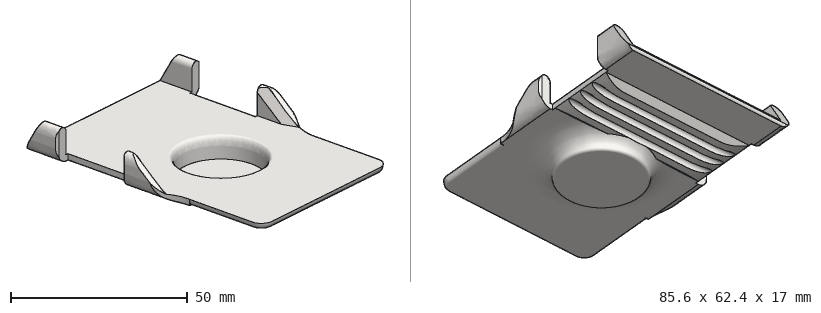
import cadquery as cq
import math

half_way = math.sqrt(0.5)

left_end = -46.55
length = 85.62
right_end = left_end + length
plate_thickness = 2.0
plate_half_width = 27.5
corner_radius = 4.0
edge_round_width = 1.2

slope_angle = 60.0
left_nose_depth = 1.0
left_nose_round_mid = (left_end + 0.2, 0.4 - plate_thickness)

arm_height = 9.0
arm_inner_y = 27.4
arm_outer_y = 31.2
arm_flat_bottom = 2.95
arm_flat_top = 5.95
arm_edge_chamfer = 0.7
left_arm_end = -34.1
right_arm_start = -9.9
right_arm_end = 11.8
right_arm_top_end = -8.0
right_arm_full_width_end = 0.4
right_arm_slope_points = [(-5.0, 7.4), (1.6, 1.85)]
right_arm_foot_slope = 0.5
right_arm_taper_points = [(2.2, 30.5), (4.5, 29.2), (6.2, 28.45)]
right_arm_foot = 4.4
ridge_x = -5.0
ridge_y = 29.05
ridge_z = 7.3
ridge_angle = 39.0
ridge_bevel_drop = 3.1
recess_half_width = 26.6

total_height = 17.0
boss_bottom = arm_height - total_height
boss_radius = 14.0
boss_edge_round = 0.9
flare_radius = 22.5
pocket_radius = 26.5 / 2
pocket_mouth_radius = 14.7
pocket_mouth_depth = 2.9
pocket_floor = -7.0

pad_bottom = -3.8
pad_left = -33.2
pad_right = -11.0
pad_end_run = 2.2
pad_half_width = 26.6
pad_flat_half_width = 16.5
pad_arch_y = 22.6
pad_arch_z = -3.25
groove_count = 3
groove_pitch = 5.05
first_groove_x = -27.1
groove_radius = 1.35
groove_roof = -2.1


def left_end_x(z):
    """X of the sloped left end face at height z."""
    return left_end + (z + left_nose_depth) / math.tan(math.radians(slope_angle))


def make_side_envelope():
    """Left-end slope with a rounded nose, as a prism that trims plate and arms."""
    return (
        cq.Workplane("XZ")
        .moveTo(right_end, -plate_thickness)
        .lineTo(left_end_x(0), -plate_thickness)
        .threePointArc(left_nose_round_mid, (left_end, -left_nose_depth))
        .lineTo(left_end_x(arm_height), arm_height)
        .lineTo(right_end, arm_height)
        .close()
        .extrude(2 * arm_outer_y, both=True)
    )


def make_plate():
    """Plate with rounded free corners and a shallow side recess between the arms."""
    plate = (
        cq.Workplane("XY")
        .box(length, 2 * plate_half_width, plate_thickness, centered=(False, True, False))
        .translate((left_end, 0, -plate_thickness))
        .edges("|Z and >X")
        .fillet(corner_radius)
    )
    recess_length = right_arm_start - left_arm_end
    recess_depth = plate_half_width - recess_half_width
    for side in (-1, 1):
        recess = cq.Workplane("XY").box(recess_length, 2 * recess_depth, 4 * plate_thickness)
        middle_x = (left_arm_end + right_arm_start) / 2
        plate = plate.cut(recess.translate((middle_x, side * plate_half_width, 0)))
    return plate.cut(make_edge_round())


def make_edge_round():
    """Material removed to round the lower edge, from one right arm around the free end to the other."""
    corner_x = right_end - corner_radius
    corner_y = plate_half_width - corner_radius
    arc_x = corner_x + corner_radius * half_way
    arc_y = corner_y + corner_radius * half_way
    path = (
        cq.Workplane("XY")
        .moveTo(right_arm_end, -plate_half_width)
        .lineTo(corner_x, -plate_half_width)
        .threePointArc((arc_x, -arc_y), (right_end, -corner_y))
        .lineTo(right_end, corner_y)
        .threePointArc((arc_x, arc_y), (corner_x, plate_half_width))
        .lineTo(right_arm_end, plate_half_width)
    )
    return (
        cq.Workplane("YZ", origin=(right_arm_end, -plate_half_width, 0))
        .moveTo(edge_round_width, -plate_thickness)
        .ellipseArc(edge_round_width, plate_thickness, 180, 270, sense=-1, startAtCurrent=True)
        .lineTo(-edge_round_width, 0)
        .lineTo(-edge_round_width, -plate_thickness)
        .close()
        .sweep(path)
    )


def make_arm_rail():
    """Arm cross-section in YZ, run along the whole length on the +Y side."""
    arm_middle_y = (arm_inner_y + arm_outer_y) / 2
    half_thickness = (arm_outer_y - arm_inner_y) / 2
    inner_round_start = arm_height - half_thickness
    lower_drop = arm_flat_bottom + plate_thickness
    return (
        cq.Workplane("YZ", origin=(left_end, 0, 0))
        .moveTo(recess_half_width, -plate_thickness)
        .lineTo(arm_inner_y, -plate_thickness)
        .ellipseArc(arm_outer_y - arm_inner_y, lower_drop, -90, 0, startAtCurrent=True)
        .lineTo(arm_outer_y, arm_flat_top)
        .ellipseArc(half_thickness, arm_height - arm_flat_top, 0, 90, startAtCurrent=True)
        .threePointArc(
            (arm_middle_y - half_thickness * half_way, inner_round_start + half_thickness * half_way),
            (arm_inner_y, inner_round_start),
        )
        .lineTo(arm_inner_y, 0)
        .lineTo(recess_half_width, 0)
        .close()
        .extrude(length)
    )


def make_left_arm(rail):
    """Arm at the sloped end, on the +Y side."""
    plan = (
        cq.Workplane("XY", origin=(0, 0, -plate_thickness))
        .moveTo(left_end, recess_half_width)
        .lineTo(left_end, arm_outer_y)
        .lineTo(left_arm_end - arm_edge_chamfer, arm_outer_y)
        .lineTo(left_arm_end, arm_outer_y - arm_edge_chamfer)
        .lineTo(left_arm_end, recess_half_width)
        .close()
        .extrude(plate_thickness + arm_height)
    )
    return rail.intersect(plan)


def make_right_arm(rail):
    """Arm beside the pocket, tapering down and in to the plate edge, on the +Y side."""
    plan = (
        cq.Workplane("XY", origin=(0, 0, -plate_thickness))
        .moveTo(right_arm_start, recess_half_width)
        .lineTo(right_arm_start, arm_outer_y - arm_edge_chamfer)
        .lineTo(right_arm_start + arm_edge_chamfer, arm_outer_y)
        .lineTo(right_arm_full_width_end, arm_outer_y)
        .spline(right_arm_taper_points + [(right_arm_end, plate_half_width)], includeCurrent=True)
        .lineTo(right_arm_end, recess_half_width)
        .close()
        .extrude(plate_thickness + arm_height)
    )
    profile = (
        cq.Workplane("XZ")
        .moveTo(right_arm_start, -plate_thickness)
        .lineTo(right_arm_start, arm_height)
        .lineTo(right_arm_top_end, arm_height)
        .spline(
            right_arm_slope_points + [(right_arm_foot, 0)],
            tangents=[(1, 0), (1, -right_arm_foot_slope)],
            includeCurrent=True,
        )
        .lineTo(right_arm_end, 0)
        .lineTo(right_arm_end, -plate_thickness)
        .close()
        .extrude(-2 * arm_outer_y)
    )
    return rail.intersect(plan).intersect(profile).cut(make_ridge_bevel())


def make_ridge_bevel():
    """Steep bevel on the inner side of the sloping right arm, running parallel to the slope."""
    angle = math.radians(ridge_angle)
    slope_plane = cq.Plane(
        origin=(ridge_x, 0, ridge_z),
        xDir=(0, 1, 0),
        normal=(math.cos(angle), 0, -math.sin(angle)),
    )
    bevel = (
        cq.Workplane(slope_plane)
        .moveTo(ridge_y, 0)
        .lineTo(arm_inner_y, -ridge_bevel_drop)
        .lineTo(arm_inner_y, arm_height)
        .lineTo(ridge_y, arm_height)
        .close()
        .extrude(2 * arm_height, both=True)
    )
    above_plate = cq.Workplane("XY").rect(2 * length, 2 * arm_outer_y).extrude(arm_height)
    return bevel.intersect(above_plate)


def make_boss():
    """Flared round boss below the plate, revolved about Z."""
    flare_bottom_drop = -plate_thickness - boss_bottom - boss_edge_round
    return (
        cq.Workplane("XZ")
        .moveTo(0, -plate_thickness)
        .lineTo(flare_radius, -plate_thickness)
        .ellipseArc(
            flare_radius - boss_radius,
            flare_bottom_drop,
            90,
            180,
            startAtCurrent=True,
        )
        .threePointArc(
            (boss_radius - boss_edge_round * (1 - half_way), boss_bottom + boss_edge_round * (1 - half_way)),
            (boss_radius - boss_edge_round, boss_bottom),
        )
        .lineTo(0, boss_bottom)
        .close()
        .revolve(360, (0, 0, 0), (0, 1, 0))
    )


def make_pocket():
    """Round blind pocket with a rounded mouth, open at the plate top."""
    return (
        cq.Workplane("XZ")
        .lineTo(pocket_mouth_radius, 0)
        .ellipseArc(
            pocket_mouth_radius - pocket_radius,
            pocket_mouth_depth,
            90,
            180,
            startAtCurrent=True,
        )
        .lineTo(pocket_radius, pocket_floor)
        .lineTo(0, pocket_floor)
        .close()
        .revolve(360, (0, 0, 0), (0, 1, 0))
    )


def make_grip_pad():
    """Arched pad under the plate with sloping ends."""
    arched_bar = (
        cq.Workplane("YZ", origin=(pad_left, 0, 0))
        .moveTo(-pad_half_width, -plate_thickness)
        .spline([(-pad_arch_y, pad_arch_z), (-pad_flat_half_width, pad_bottom)], includeCurrent=True)
        .lineTo(pad_flat_half_width, pad_bottom)
        .spline([(pad_arch_y, pad_arch_z), (pad_half_width, -plate_thickness)], includeCurrent=True)
        .close()
        .extrude(pad_right - pad_left)
    )
    side = (
        cq.Workplane("XZ")
        .moveTo(pad_left, -plate_thickness)
        .lineTo(pad_left + pad_end_run, pad_bottom)
        .lineTo(pad_right - pad_end_run, pad_bottom)
        .lineTo(pad_right, -plate_thickness)
        .close()
        .extrude(pad_half_width, both=True)
    )
    return arched_bar.intersect(side)


def cut_grooves(underside):
    """Round-roofed grip grooves across the underside, parallel to Y."""
    for index in range(groove_count):
        groove = (
            cq.Workplane("XZ")
            .center(first_groove_x + index * groove_pitch, groove_roof - groove_radius)
            .circle(groove_radius)
            .extrude(pad_half_width, both=True)
        )
        underside = underside.cut(groove)
    return underside


rail = make_arm_rail()
body = make_plate()
for arm in (make_left_arm(rail), make_right_arm(rail)):
    body = body.union(arm).union(arm.mirror("XZ"))
body = body.intersect(make_side_envelope())
body = body.union(cut_grooves(make_grip_pad().union(make_boss())))
result = body.cut(make_pocket())